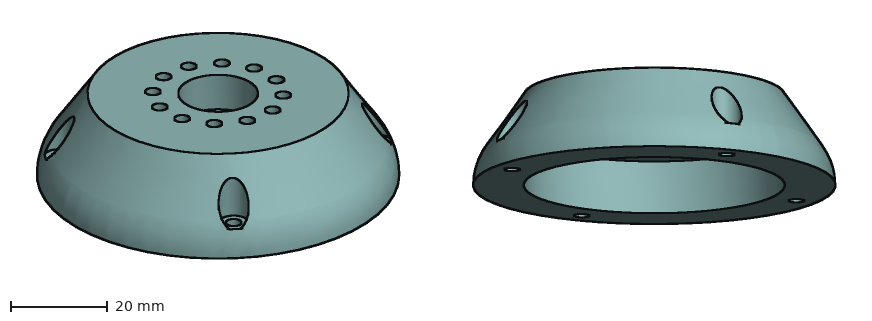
import cadquery as cq
import math

base_radius = 37.5
height = 19.0
top_radius = 27.0
shoulder_radius = 35.1
shoulder_height = 7.35

plate_thickness = 8.0
recess_diameter = 2 * top_radius

bore_diameter = 16.5
ring_hole_count = 12
ring_radius = 13.5
ring_hole_diameter = 3.2

mount_count = 4
mount_radius = 33.0
mount_first_angle = 69.0
mount_hole_diameter = 3.2
mount_head_diameter = 6.2
mount_seat_height = 6.0


def body():
    """Revolve the half section; the rim arc runs tangent into the cone."""
    return (
        cq.Workplane("XZ")
        .lineTo(0, height)
        .lineTo(top_radius, height)
        .lineTo(shoulder_radius, shoulder_height)
        .tangentArcPoint((base_radius, 0), relative=False)
        .close()
        .revolve(360, (0, 0), (0, 1))
    )


def cylinders(points, diameter, bottom, top=height):
    """Vertical cutters between two levels, reaching the top face by default."""
    return (
        cq.Workplane("XY", origin=(0, 0, bottom))
        .pushPoints(points)
        .circle(diameter / 2)
        .extrude(top - bottom)
    )


def points_on_circle(radius, count, first_angle):
    angles = [math.radians(first_angle + i * 360 / count) for i in range(count)]
    return [(radius * math.cos(a), radius * math.sin(a)) for a in angles]


ring_points = points_on_circle(ring_radius, ring_hole_count, 0)
mount_points = points_on_circle(mount_radius, mount_count, mount_first_angle)

result = (
    body()
    .cut(cylinders([(0, 0)], recess_diameter, 0, height - plate_thickness))
    .cut(cylinders([(0, 0)], bore_diameter, 0))
    .cut(cylinders(ring_points, ring_hole_diameter, 0))
    .cut(cylinders(mount_points, mount_hole_diameter, 0))
    .cut(cylinders(mount_points, mount_head_diameter, mount_seat_height))
)